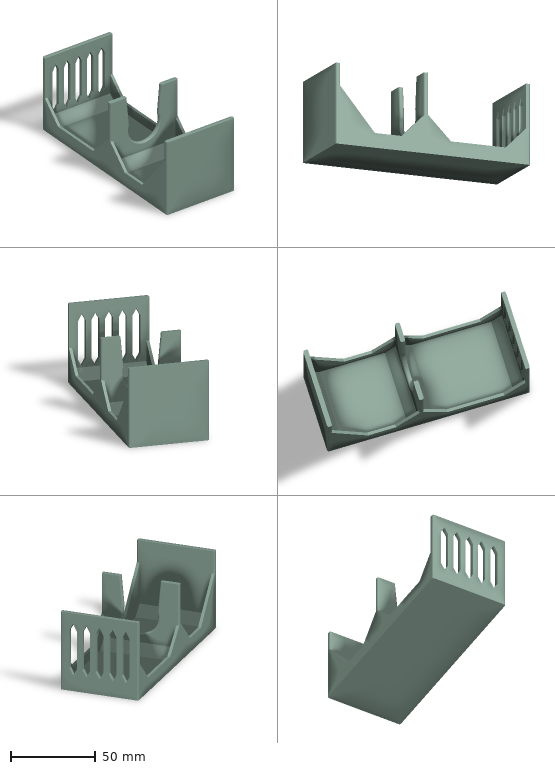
import cadquery as cq
import math

LENGTH = 126.0
WIDTH = 49.9
HEIGHT = 49.8

FLOOR = 3.0
WALL = 3.0
SLOTTED_WALL = 2.8
MIDDLE_X = 67.4
CORNER_FILLET = 1.0
BEVEL_RUN = 6.7
BEVEL_RISE = 6.3

PANEL = 1.9
PANEL_SILL_Z = 9.1
PANEL_PEAK_Z = 25.0
PANEL_END_Z = 39.0
LEFT_SILL = (16.0, 51.4)
RIGHT_SILL = (83.4, 100.8)

SLOT_COUNT = 5
SLOT_PITCH = 8.5
SLOT_WIDTH = 4.9
SLOT_STRAIGHT = 24.2
SLOT_TIP = 4.4
SLOT_CENTRE_Z = 26.5

NOTCH_RADIUS = 11.5
NOTCH_BOTTOM_Z = 15.1
NOTCH_NECK = 21.8
NOTCH_MOUTH = 25.5

middle_left = MIDDLE_X - WALL / 2
middle_right = MIDDLE_X + WALL / 2
end_wall_x = LENGTH - WALL


def upright_wall(x_start, thickness, rounded_edges):
    """Full-width wall with the selected upright edges rounded."""
    wall = cq.Workplane("XY").box(thickness, WIDTH, HEIGHT, centered=(False, True, False))
    return wall.edges(rounded_edges).fillet(CORNER_FILLET).translate((x_start, 0, 0))


def along_width(points, thickness):
    """Closed XZ outline extruded symmetrically about Y = 0."""
    return cq.Workplane("XZ").polyline(points).close().extrude(thickness / 2, both=True)


def floor_bay(x_start, x_end):
    """Floor between two walls, with a bevel rising to each of them."""
    bevel_top = FLOOR + BEVEL_RISE
    return along_width(
        [
            (x_start, 0),
            (x_end, 0),
            (x_end, bevel_top),
            (x_end - BEVEL_RUN, FLOOR),
            (x_start + BEVEL_RUN, FLOOR),
            (x_start, bevel_top),
        ],
        WIDTH,
    )


def side_panels():
    """Matching panels on both long sides, with their outer corners rounded."""
    outline = [
        (0, 0),
        (LENGTH, 0),
        (LENGTH, PANEL_END_Z),
        (RIGHT_SILL[1], PANEL_SILL_Z),
        (RIGHT_SILL[0], PANEL_SILL_Z),
        (MIDDLE_X, PANEL_PEAK_Z),
        (LEFT_SILL[1], PANEL_SILL_Z),
        (LEFT_SILL[0], PANEL_SILL_Z),
        (0, PANEL_PEAK_Z),
    ]
    inside = cq.Workplane("XY").box(LENGTH, WIDTH - 2 * PANEL, HEIGHT, centered=(False, True, False))
    envelope = upright_wall(0, LENGTH, "|Z")
    return along_width(outline, WIDTH).cut(inside).intersect(envelope)


def wall_slots():
    """Row of slots with pointed ends, evenly spaced about Y = 0."""
    half_width = SLOT_WIDTH / 2
    half_straight = SLOT_STRAIGHT / 2
    tip = half_straight + SLOT_TIP
    slot = (
        cq.Workplane("YZ")
        .polyline(
            [
                (0, -tip),
                (half_width, -half_straight),
                (half_width, half_straight),
                (0, tip),
                (-half_width, half_straight),
                (-half_width, -half_straight),
            ]
        )
        .close()
        .extrude(SLOTTED_WALL)
    )
    slots = cq.Workplane("XY")
    for index in range(SLOT_COUNT):
        y = (index - (SLOT_COUNT - 1) / 2) * SLOT_PITCH
        slots = slots.union(slot.translate((0, y, SLOT_CENTRE_Z)))
    return slots


def notched_wall():
    """Middle wall with a round-seated notch that opens outward above its neck."""
    neck_y = NOTCH_NECK / 2
    top_y = NOTCH_MOUTH / 2
    neck_z = NOTCH_BOTTOM_Z + NOTCH_RADIUS + math.sqrt(NOTCH_RADIUS**2 - neck_y**2)
    notch = (
        cq.Workplane("YZ")
        .moveTo(-top_y, HEIGHT)
        .lineTo(-neck_y, neck_z)
        .threePointArc((0, NOTCH_BOTTOM_Z), (neck_y, neck_z))
        .lineTo(top_y, HEIGHT)
        .close()
        .extrude(WALL)
        .translate((middle_left, 0, 0))
    )
    wall = upright_wall(middle_left, WALL, "|Z").cut(notch)
    notch_zone = cq.selectors.BoxSelector(
        (middle_left - CORNER_FILLET, -top_y, NOTCH_BOTTOM_Z - CORNER_FILLET),
        (middle_right + CORNER_FILLET, top_y, HEIGHT - CORNER_FILLET),
    )
    return wall.faces("|X").edges(notch_zone).fillet(CORNER_FILLET)


slotted_wall = upright_wall(0, SLOTTED_WALL, "|Z and <X").cut(wall_slots())
end_wall = upright_wall(end_wall_x, WALL, "|Z")

result = (
    slotted_wall.union(notched_wall())
    .union(end_wall)
    .union(floor_bay(SLOTTED_WALL, middle_left))
    .union(floor_bay(middle_right, end_wall_x))
    .union(side_panels())
    .clean()
)